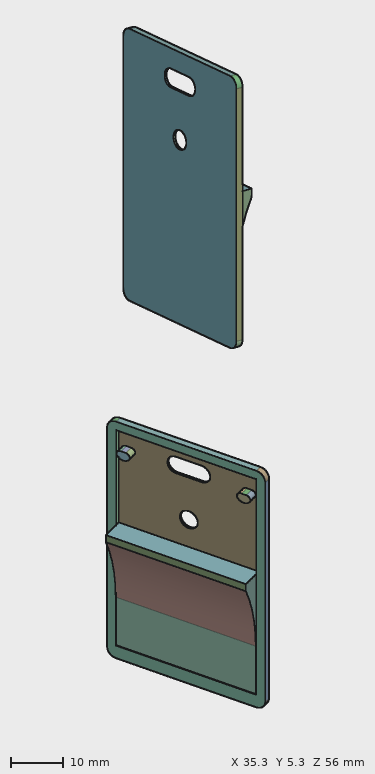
import cadquery as cq
import math

plate_width = 35.3
plate_height = 56.0
plate_thickness = 1.5
corner_radius = 2.0
plate_top = plate_height / 2

floor_thickness = 0.5
recess_border = corner_radius

slot_length = 9.5
slot_height = 3.85
slot_drop = 6.15
hole_diameter = 4.0
hole_drop = 18.05

peg_length = 3.1
peg_shoulder = 1.0
peg_belly = 1.0
peg_top_y = 2.5
peg_offset = 13.45
peg_drop = 6.8

total_depth = 5.3
ledge_width = plate_width - 2 * recess_border
ledge_drop = 24.5
ledge_lip = 1.7
pad_bottom_drop = 52.85
pad_depth = 0.15
sweep_radius = 33.6


def rear_plane(y):
    """XZ plane at depth y whose normal points to the rear (+Y), with local y up and local x along -X."""
    return cq.Workplane(cq.Plane(origin=(0, y, 0), xDir=(-1, 0, 0), normal=(0, 1, 0)))


def make_plate():
    plate = rear_plane(0).rect(plate_width, plate_height).extrude(plate_thickness)
    plate = plate.edges("|Y").fillet(corner_radius)
    slot = rear_plane(0).center(0, plate_top - slot_drop).slot2D(slot_length, slot_height)
    hole = rear_plane(0).center(0, plate_top - hole_drop).circle(hole_diameter / 2)
    return plate.cut(slot.extrude(plate_thickness)).cut(hole.extrude(plate_thickness))


def make_recess():
    recess_top = plate_top - recess_border
    recess_bottom = plate_top - ledge_drop
    recess = rear_plane(floor_thickness).center(0, (recess_top + recess_bottom) / 2)
    recess = recess.rect(ledge_width, recess_top - recess_bottom)
    return recess.extrude(plate_thickness - floor_thickness)


def make_pegs():
    half_length = peg_length / 2
    flat_half = half_length - peg_shoulder
    bend = peg_shoulder * math.sqrt(0.5)
    pegs = cq.Workplane()
    for side in (-1, 1):
        outline = (
            rear_plane(floor_thickness)
            .center(side * peg_offset, plate_top - peg_drop)
            .moveTo(-half_length, 0)
            .threePointArc((-flat_half - bend, bend), (-flat_half, peg_shoulder))
            .lineTo(flat_half, peg_shoulder)
            .threePointArc((flat_half + bend, bend), (half_length, 0))
            .threePointArc((0, -peg_belly), (-half_length, 0))
            .close()
        )
        pegs = pegs.add(outline.extrude(peg_top_y - floor_thickness))
    return pegs


def make_ledge():
    pad_y = plate_thickness + pad_depth
    ledge_top = plate_top - ledge_drop
    pad_bottom = plate_top - pad_bottom_drop
    arc_start = ledge_top - ledge_lip
    sweep_angle = math.acos(1 - (total_depth - pad_y) / sweep_radius)
    arc_end = arc_start - sweep_radius * math.sin(sweep_angle)
    arc_middle = (
        pad_y + sweep_radius * (1 - math.cos(sweep_angle / 2)),
        arc_end + sweep_radius * math.sin(sweep_angle / 2),
    )
    profile = (
        cq.Workplane("YZ")
        .moveTo(plate_thickness, ledge_top)
        .lineTo(total_depth, ledge_top)
        .lineTo(total_depth, arc_start)
        .threePointArc(arc_middle, (pad_y, arc_end))
        .lineTo(pad_y, pad_bottom)
        .lineTo(plate_thickness, pad_bottom)
        .close()
    )
    return profile.extrude(ledge_width / 2, both=True)


result = make_plate().cut(make_recess()).union(make_pegs()).union(make_ledge())